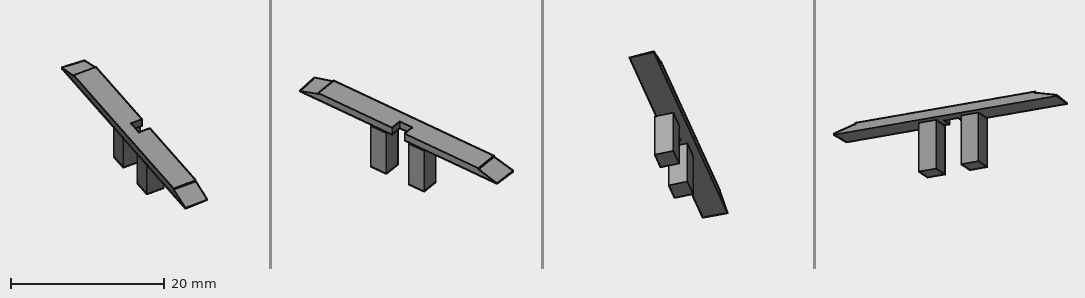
import cadquery as cq

length = 32.65
depth = 3.55
height = 7.9

leg_overhang = 0.2
bar_depth = depth - leg_overhang
bar_height = 1.15
back_length = 32.38
plateau_length = 26.3
ledge_width = 0.2
ledge_drop = 0.2
front_tip_height = 0.15
back_tip_height = 0.05

notch_width = 2.05
notch_depth = 1.65

leg_side = 2.55
leg_spacing = 6.2
leg_length = height - bar_height


def add_end_profile(workplane, profile_length, tip_height):
    """Draw the bar outline, with a ramp and a small ledge at each end."""
    half_length = profile_length / 2
    half_plateau = plateau_length / 2
    ramp_top = half_plateau + ledge_width
    ledge_height = bar_height - ledge_drop
    right_side = [
        (half_length, 0),
        (half_length, tip_height),
        (ramp_top, ledge_height),
        (half_plateau, ledge_height),
        (half_plateau, bar_height),
    ]
    left_side = [(-x, z) for x, z in reversed(right_side)]
    return workplane.polyline(right_side + left_side).close()


def make_bar():
    """Blend the front outline into the shorter, thinner-tipped back outline."""
    front = add_end_profile(cq.Workplane("XZ"), length, front_tip_height)
    back_plane = front.workplane(offset=-bar_depth)
    return add_end_profile(back_plane, back_length, back_tip_height).loft(ruled=True)


def make_notch():
    return (
        cq.Workplane("XY")
        .box(notch_width, notch_depth, bar_height, centered=(True, False, False))
        .translate((0, bar_depth - notch_depth, 0))
    )


def make_leg(x_center):
    return (
        cq.Workplane("XY")
        .box(leg_side, leg_side, leg_length, centered=(True, False, False))
        .translate((x_center, depth - leg_side, -leg_length))
    )


result = make_bar().cut(make_notch())
for side in (-1, 1):
    result = result.union(make_leg(side * leg_spacing / 2))